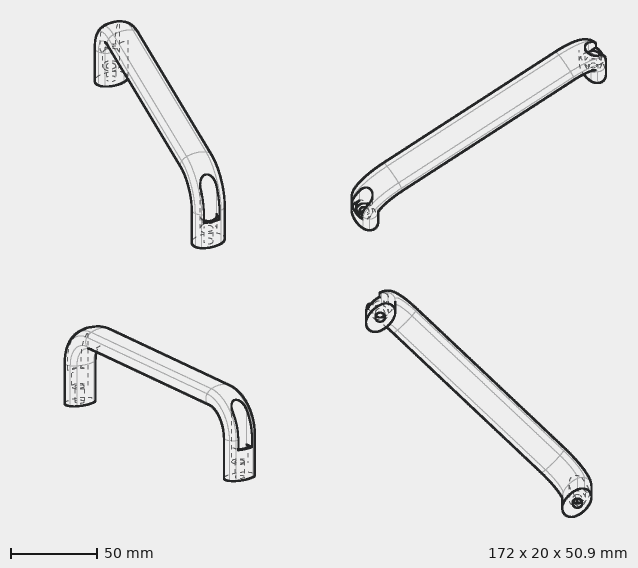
import cadquery as cq
import math

length = 172.0
width = 20.0
height = 50.9

thickness = 12.9
face_half_width = 6.0
face_radius = 16.2
side_radius = 5.0

outer_bend_radius = 26.0
hole_spacing = 160.0
hole_diameter = 5.5
recess_diameter = 9.6
notch_floor = 19.0
seat_height = notch_floor / 2

bend_radius = outer_bend_radius - thickness / 2
leg_center = (length - thickness) / 2
bar_center = height - thickness / 2


def bar_path():
    """Centre line: up one leg, across the grip and down the other leg."""
    bend_start = bar_center - bend_radius
    bend_end = leg_center - bend_radius
    diagonal = bend_radius * math.sqrt(0.5)
    bend_middle_x = bend_end + diagonal
    bend_middle_z = bend_start + diagonal
    return (
        cq.Workplane("XZ")
        .moveTo(-leg_center, 0)
        .lineTo(-leg_center, bend_start)
        .threePointArc((-bend_middle_x, bend_middle_z), (-bend_end, bar_center))
        .lineTo(bend_end, bar_center)
        .threePointArc((bend_middle_x, bend_middle_z), (leg_center, bend_start))
        .lineTo(leg_center, 0)
    )


def bar_section():
    """Oval at the foot of one leg, made of tangent face, shoulder and side arcs."""
    half_thickness = thickness / 2
    half_width = width / 2

    normal_y = face_half_width / face_radius
    normal_x = math.sqrt(1 - normal_y**2)
    face_end_x = half_thickness - face_radius * (1 - normal_x)

    side_center_y = half_width - side_radius
    offset_y = face_half_width - side_center_y
    offset_squared = face_end_x**2 + offset_y**2
    offset_along_normal = face_end_x * normal_x + offset_y * normal_y
    shoulder_radius = (offset_squared - side_radius**2) / (2 * (offset_along_normal - side_radius))
    shoulder_center_x = face_end_x - shoulder_radius * normal_x
    shoulder_center_y = face_half_width - shoulder_radius * normal_y
    side_angle = math.atan2(side_center_y - shoulder_center_y, -shoulder_center_x)
    side_end_x = side_radius * math.cos(side_angle)
    side_end_y = side_center_y + side_radius * math.sin(side_angle)

    middle_angle = (side_angle + math.asin(normal_y)) / 2
    shoulder_x = shoulder_center_x + shoulder_radius * math.cos(middle_angle)
    shoulder_y = shoulder_center_y + shoulder_radius * math.sin(middle_angle)

    return (
        cq.Workplane("XY")
        .center(-leg_center, 0)
        .moveTo(-face_end_x, -face_half_width)
        .threePointArc((-half_thickness, 0), (-face_end_x, face_half_width))
        .threePointArc((-shoulder_x, shoulder_y), (-side_end_x, side_end_y))
        .threePointArc((0, half_width), (side_end_x, side_end_y))
        .threePointArc((shoulder_x, shoulder_y), (face_end_x, face_half_width))
        .threePointArc((half_thickness, 0), (face_end_x, -face_half_width))
        .threePointArc((shoulder_x, -shoulder_y), (side_end_x, -side_end_y))
        .threePointArc((0, -half_width), (-side_end_x, -side_end_y))
        .threePointArc((-shoulder_x, -shoulder_y), (-face_end_x, -face_half_width))
        .close()
    )


def screw_cut(side):
    """Through hole, counterbore and notch open to the outside of the leg."""
    center_x = side * hole_spacing / 2
    hole = cq.Workplane("XY").center(center_x, 0).circle(hole_diameter / 2).extrude(height)
    counterbore = (
        cq.Workplane("XY", origin=(center_x, 0, seat_height))
        .circle(recess_diameter / 2)
        .extrude(height - seat_height)
    )
    notch = (
        cq.Workplane("XY", origin=(center_x, 0, notch_floor))
        .center(side * thickness / 2, 0)
        .rect(thickness, recess_diameter)
        .extrude(height - notch_floor)
    )
    return hole.union(counterbore).union(notch)


result = bar_section().sweep(bar_path())
for side in (-1, 1):
    result = result.cut(screw_cut(side))